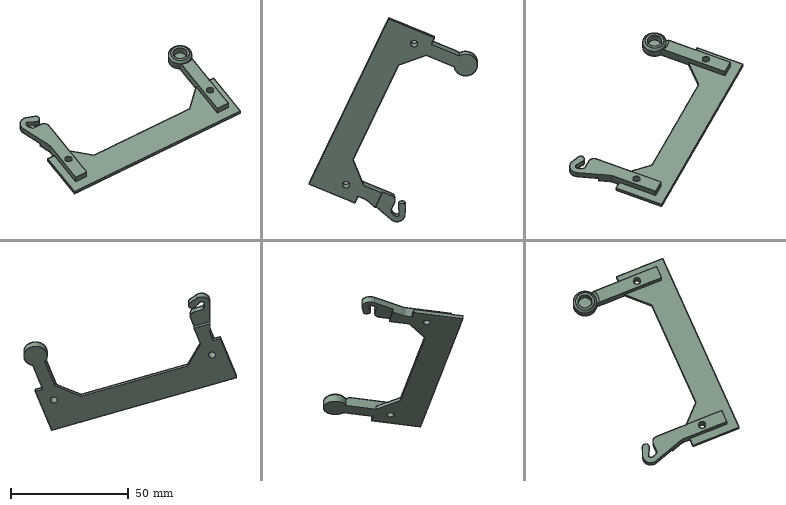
import cadquery as cq
import math

plate_left = 22.2
plate_right = 43.7
plate_bottom = 1.5
plate_top = 85.1
plate_thickness = 1.5
plate_mid_y = (plate_bottom + plate_top) / 2
relief_depth = 8.85
web_left = plate_left + relief_depth

total_height = 4.4
arm_width = 5.5
arm_offset = 35.7
arm_end = 39.3
hook_arm_y = plate_mid_y - arm_offset
ring_arm_y = plate_mid_y + arm_offset
hook_arm_top = hook_arm_y + arm_width / 2
hook_arm_bottom = hook_arm_y - arm_width / 2
pin_hole_x = 29.1
pin_hole_diameter = 3.0

ring_radius = 5.0
ring_chamfer = 1.0
cup_diameter = 6
cup_floor = 1.0

hook_radius = 3.5
hook_x = hook_radius
hook_y = hook_radius
tip_x = 3.0
tip_y = 7.7
tip_radius = 1.5
shoulder_x = 6.55
shoulder_radius = 2.55
taper_end_x = 18.6
taper_blend = 3.1
throat_x = 3.6
throat_y = 3.5
throat_radius = 1.0
throat_corner_y = 3.9
throat_floor_radius = 4.0
foot_left = 13.45


def on_circle(x, y, radius, angle):
    return x + radius * math.cos(angle), y + radius * math.sin(angle)


def tangent_normal(start, start_radius, end, end_radius):
    """Angle of the normal shared by two circles, on the right of the line start to end."""
    dx = end[0] - start[0]
    dy = end[1] - start[1]
    lean = math.asin((start_radius - end_radius) / math.hypot(dx, dy))
    return math.atan2(dy, dx) - math.pi / 2 + lean


def make_plate():
    inner_top = ring_arm_y - arm_width / 2
    outline = [
        (plate_left, plate_bottom),
        (plate_right, plate_bottom),
        (plate_right, plate_top),
        (plate_left, plate_top),
        (plate_left, inner_top),
        (web_left, inner_top - relief_depth),
        (web_left, hook_arm_top + relief_depth),
        (plate_left, hook_arm_top),
    ]
    return cq.Workplane("XY").polyline(outline).close().extrude(plate_thickness)


def make_ring_arm():
    arm = cq.Workplane("XY").box(
        arm_end - ring_radius, arm_width, total_height, centered=(False, True, False)
    ).translate((ring_radius, ring_arm_y, 0))

    top_plane = cq.Workplane("XY", origin=(ring_radius, ring_arm_y, total_height - ring_chamfer))
    recess = (
        top_plane.circle(ring_radius)
        .workplane(offset=ring_chamfer).circle(ring_radius + ring_chamfer).loft()
    )
    ring = (
        cq.Workplane("XY", origin=(ring_radius, ring_arm_y, 0))
        .circle(ring_radius).extrude(total_height)
        .faces(">Z").chamfer(ring_chamfer)
    )
    cup = (
        cq.Workplane("XY", origin=(ring_radius, ring_arm_y, cup_floor))
        .circle(cup_diameter / 2).extrude(total_height - cup_floor)
    )
    return arm.cut(recess).union(ring).cut(cup)


def make_hook_arm():
    hook = (hook_x, hook_y)
    tip = (tip_x, tip_y)
    throat = (throat_x, throat_y)
    taper_end = (taper_end_x, hook_arm_bottom)
    back = tangent_normal(tip, tip_radius, hook, hook_radius)
    taper = tangent_normal(hook, hook_radius, taper_end, 0)
    inside = tangent_normal(throat, -throat_radius, tip, tip_radius)
    outer_mid = (back + taper) / 2
    tip_mid = (inside + back) / 2 + math.pi
    throat_bottom = (throat_x, throat_y - throat_radius)

    profile = (
        cq.Workplane("XY")
        .moveTo(arm_end, hook_arm_bottom)
        .lineTo(arm_end, hook_arm_top)
        .lineTo(shoulder_x + shoulder_radius, hook_arm_top)
        .radiusArc((shoulder_x, hook_arm_top - shoulder_radius), -shoulder_radius)
        .lineTo(shoulder_x, throat_corner_y)
        .radiusArc(throat_bottom, throat_floor_radius)
        .radiusArc(on_circle(*throat, throat_radius, inside + math.pi), throat_radius)
        .lineTo(*on_circle(*tip, tip_radius, inside))
        .threePointArc(
            on_circle(*tip, tip_radius, tip_mid), on_circle(*tip, tip_radius, back))
        .lineTo(*on_circle(*hook, hook_radius, back))
        .threePointArc(
            on_circle(*hook, hook_radius, outer_mid), on_circle(*hook, hook_radius, taper))
        .lineTo(*taper_end)
        .close()
        .extrude(total_height)
    )
    near_taper_end = cq.selectors.NearestToPointSelector((*taper_end, total_height / 2))
    arm = profile.edges("|Z").edges(near_taper_end).fillet(taper_blend)
    clearance = cq.Workplane("XY").box(
        foot_left, hook_arm_top, plate_thickness, centered=False)
    return arm.cut(clearance)


pin_holes = (
    cq.Workplane("XY")
    .pushPoints([(pin_hole_x, hook_arm_y), (pin_hole_x, ring_arm_y)])
    .circle(pin_hole_diameter / 2)
    .extrude(total_height)
)

result = make_plate().union(make_ring_arm()).union(make_hook_arm()).cut(pin_holes)